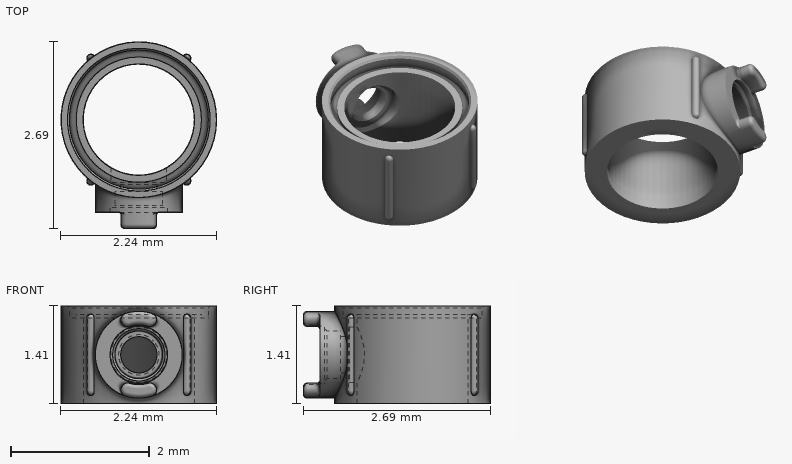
import cadquery as cq
import math

body_diameter = 2.24
body_height = 1.41
overall_length = 2.69
body_radius = body_diameter / 2
top_z = body_height / 2

bore_radius = 0.8
lip_radius = 0.9
lip_depth = 0.125
groove_radius = 1.0
groove_depth = 0.178
mouth_radius = 1.028
mouth_chamfer_depth = 0.032

rib_radius = 0.06
rib_length = 1.173
rib_angle = 52.0

boss_diameter = 1.25
boss_radius = boss_diameter / 2
boss_face = 1.335
port_radius = 0.26
port_rim_thickness = 0.13
rim_chamfer = 0.03
relief_radius = 0.4
socket_radius = 0.345
socket_depth = 0.3
socket_chamfer = 0.032
counterbore_radius = 0.415
counterbore_depth = 0.07

tab_end = overall_length - body_radius
tab_inner_radius = 0.43
tab_half_angle = 28.0
tab_corner_radius = 0.095
tab_end_fillet = 0.06
tab_base_fillet = 0.032


def cylinder_y(radius, near, far):
    """Cylinder on the boss axis, from distance near to distance far along -Y."""
    return cq.Workplane("XZ").workplane(offset=near).circle(radius).extrude(far - near)


def make_rib(angle):
    """Vertical pin with hemispherical ends."""
    x = body_radius * math.cos(math.radians(angle))
    y = body_radius * math.sin(math.radians(angle))
    pin = cq.Workplane("XY").circle(rib_radius).extrude(rib_length - 2 * rib_radius)
    pin = pin.translate((x, y, rib_radius - rib_length / 2))
    for side in (-1, 1):
        cap = cq.Workplane("XY").sphere(rib_radius)
        pin = pin.union(cap.translate((x, y, side * (rib_length / 2 - rib_radius))))
    return pin


def make_tab():
    """Upper tab: a rounded annular sector on a thin base, blended at its foot."""
    foot_margin = 0.003

    def polar(radius, angle):
        return radius * math.sin(math.radians(angle)), radius * math.cos(math.radians(angle))

    sector = (
        cq.Workplane("XZ")
        .workplane(offset=boss_face)
        .moveTo(*polar(tab_inner_radius, -tab_half_angle))
        .threePointArc(polar(tab_inner_radius, 0), polar(tab_inner_radius, tab_half_angle))
        .lineTo(*polar(boss_radius, tab_half_angle))
        .threePointArc(polar(boss_radius, 0), polar(boss_radius, -tab_half_angle))
        .close()
        .extrude(tab_end - boss_face)
        .edges("|Y")
        .fillet(tab_corner_radius)
        .faces("<Y")
        .edges()
        .fillet(tab_end_fillet)
    )
    base_radius = boss_radius + 2 * tab_base_fillet
    base = cylinder_y(base_radius, boss_face - tab_base_fillet, boss_face)
    foot = cq.selectors.BoxSelector(
        (-boss_radius, -boss_face - foot_margin, foot_margin),
        (boss_radius, -boss_face + foot_margin, boss_radius + foot_margin),
    )
    blended = base.union(sector).edges(foot).fillet(tab_base_fillet)
    return blended.intersect(cylinder_y(boss_radius, 0, tab_end))


def make_bore():
    """Revolved cutter for the through bore, groove, inner lip and chamfered mouth."""
    groove_z = top_z - groove_depth
    lip_z = top_z - lip_depth
    return (
        cq.Workplane("XZ")
        .moveTo(0, -top_z)
        .lineTo(bore_radius, -top_z)
        .lineTo(bore_radius, lip_z)
        .lineTo(lip_radius, lip_z)
        .lineTo(lip_radius, groove_z)
        .lineTo(groove_radius, groove_z)
        .lineTo(groove_radius, top_z - mouth_chamfer_depth)
        .lineTo(mouth_radius, top_z)
        .lineTo(0, top_z)
        .close()
        .revolve(360, (0, 0, 0), (0, 1, 0))
    )


def make_port():
    """Revolved cutter: relief behind the port, port, socket and counterbore in the boss face."""
    floor = boss_face - counterbore_depth
    rim_front = boss_face - socket_depth
    rim_back = rim_front - port_rim_thickness
    return (
        cq.Workplane("XY")
        .moveTo(0, 0)
        .lineTo(relief_radius, 0)
        .lineTo(relief_radius, -rim_back)
        .lineTo(port_radius + rim_chamfer, -rim_back)
        .lineTo(port_radius, -rim_back - rim_chamfer)
        .lineTo(port_radius, -rim_front)
        .lineTo(socket_radius, -rim_front)
        .lineTo(socket_radius, socket_chamfer - floor)
        .lineTo(socket_radius + socket_chamfer, -floor)
        .lineTo(counterbore_radius, -floor)
        .lineTo(counterbore_radius, -tab_end)
        .lineTo(0, -tab_end)
        .close()
        .revolve(360, (0, 0, 0), (0, 1, 0))
    )


result = cq.Workplane("XY").circle(body_radius).extrude(top_z, both=True)
for angle in (rib_angle, 180 - rib_angle, 180 + rib_angle, -rib_angle):
    result = result.union(make_rib(angle))

result = result.union(cylinder_y(boss_radius, bore_radius, boss_face))
upper_tab = make_tab()
result = result.union(upper_tab).union(upper_tab.mirror("XY"))

result = result.cut(make_bore()).cut(make_port())